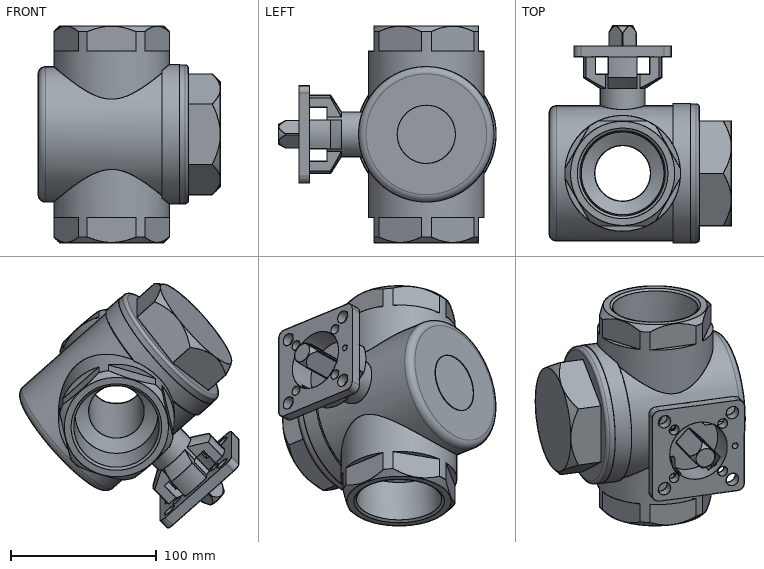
import cadquery as cq
import math


barrel_diameter = 93.0
barrel_left = -50.45
barrel_edge_radius = 5.0
recess_diameter = 40.0
recess_depth = 0.3

collar_diameter = 96.0
collar_left = 34.5
collar_right = 46.5
cap_diameter = 95.5
cap_right = 52.7
cap_edge_radius = 2.3

hex_across_flats = 72.0
hex_across_corners = hex_across_flats / math.cos(math.pi / 6)
nut_right = 74.65
nut_end_radius = hex_across_flats / 2

port_diameter = 79.5
port_half_length = 74.5
port_hex_length = 17.3
port_chamfer = 4.0
bore_diameter = 38.1
socket_mouth_diameter = 62.2
socket_chamfer_depth = 1.3
socket_outer_diameter = 58.6
socket_inner_diameter = 56.8
socket_depth = 30.0
socket_cone_depth = 5.3

neck_diameter = 31.0
neck_top = 68.2
arm_width = 20.0
arm_outer_diameter = 54.0
pilot_diameter = 42.0
arm_cone_bottom = 58.4
arm_cone_top = 65.8
plate_size = 67.0
plate_bottom = 80.05
plate_thickness = 7.5
plate_corner_radius = 5.0
plate_hole_patterns = [(70.0, 9.0), (50.0, 7.0)]
plate_hole_angle = 45.0
plate_hole_count = 4
pin_hole_diameter = 4.13
pin_hole_x = -26.8

stem_square = 14.0
stem_angle = 45.0
stem_corner_diameter = 19.0
stem_end = 101.55
stem_tip_radius = 6.8
stem_tip_length = 5.0


def cylinder_x(diameter, start, end):
    return cq.Workplane("YZ", origin=(start, 0, 0)).circle(diameter / 2).extrude(end - start)


def frame_y(y):
    """Work plane at height y along the stem, with its normal along +Y and its local Y along -Z."""
    return cq.Workplane(cq.Plane(origin=(0, y, 0), xDir=(1, 0, 0), normal=(0, 1, 0)))


def make_barrel():
    barrel = cylinder_x(barrel_diameter, barrel_left, collar_left)
    barrel = barrel.faces("<X").edges().fillet(barrel_edge_radius)
    recess = cylinder_x(recess_diameter, barrel_left, barrel_left + recess_depth)
    collar = cylinder_x(collar_diameter, collar_left, collar_right)
    cap = cylinder_x(cap_diameter, collar_right, cap_right)
    cap = cap.faces(">X").edges().fillet(cap_edge_radius)
    return barrel.cut(recess).union(collar).union(cap)


def make_end_nut():
    nut = (
        cq.Workplane("YZ", origin=(cap_right, 0, 0))
        .transformed(rotate=(0, 0, 90))
        .polygon(6, hex_across_corners)
        .extrude(nut_right - cap_right)
    )
    corner_radius = hex_across_corners / 2
    envelope = cylinder_x(hex_across_corners, cap_right, nut_right)
    envelope = envelope.faces(">X").chamfer(corner_radius - nut_end_radius)
    return nut.intersect(envelope)


def make_ports():
    ports = (
        cq.Workplane("XY", origin=(0, 0, -port_half_length))
        .circle(port_diameter / 2)
        .extrude(2 * port_half_length)
        .faces("<Z or >Z")
        .chamfer(port_chamfer)
    )
    hex_start = port_half_length - port_hex_length
    trim_radius = port_diameter
    for bottom in (-port_half_length, hex_start):
        section = cq.Workplane("XY", origin=(0, 0, bottom))
        trim = (
            section.circle(trim_radius)
            .polygon(6, hex_across_corners)
            .extrude(port_hex_length)
        )
        ports = ports.cut(trim)
    return ports


def make_port_bore():
    chamfer_z = port_half_length - socket_chamfer_depth
    socket_z = port_half_length - socket_depth
    half_profile = [
        (0, 0),
        (bore_diameter / 2, 0),
        (bore_diameter / 2, socket_z - socket_cone_depth),
        (socket_inner_diameter / 2, socket_z),
        (socket_outer_diameter / 2, chamfer_z),
        (socket_mouth_diameter / 2, port_half_length),
        (0, port_half_length),
    ]
    half = cq.Workplane("XZ").polyline(half_profile).close().revolve(360, (0, 0), (0, 1))
    return half.union(half.mirror("XY"))


def make_neck():
    return frame_y(0).circle(neck_diameter / 2).extrude(neck_top)


def make_arms():
    """Four arms on a cross, trimmed from one turned ring."""
    outer = arm_outer_diameter / 2
    inner = pilot_diameter / 2
    profile = [
        (0, arm_cone_bottom),
        (neck_diameter / 2, arm_cone_bottom),
        (outer, arm_cone_top),
        (outer, plate_bottom),
        (inner, plate_bottom),
        (inner, neck_top),
        (0, neck_top),
    ]
    ring = cq.Workplane("XY").polyline(profile).close().revolve(360, (0, 0), (0, 1))
    height = plate_bottom - arm_cone_bottom
    base = frame_y(arm_cone_bottom)
    cross = base.rect(arm_outer_diameter, arm_width).extrude(height)
    cross = cross.union(base.rect(arm_width, arm_outer_diameter).extrude(height))
    return ring.intersect(cross)


def make_plate():
    plate = frame_y(plate_bottom).rect(plate_size, plate_size).extrude(plate_thickness)
    plate = plate.edges("|Y").fillet(plate_corner_radius)
    for bolt_circle, hole_diameter in plate_hole_patterns:
        holes = (
            frame_y(plate_bottom)
            .polarArray(bolt_circle / 2, plate_hole_angle, 360, plate_hole_count)
            .circle(hole_diameter / 2)
            .extrude(plate_thickness)
        )
        plate = plate.cut(holes)
    pilot_hole = frame_y(plate_bottom).circle(pilot_diameter / 2)
    plate = plate.cut(pilot_hole.extrude(plate_thickness))
    pin_hole = frame_y(plate_bottom).center(pin_hole_x, 0).circle(pin_hole_diameter / 2)
    return plate.cut(pin_hole.extrude(plate_thickness))


def make_stem():
    length = stem_end - neck_top
    stem = (
        frame_y(neck_top)
        .transformed(rotate=(0, 0, stem_angle))
        .rect(stem_square, stem_square)
        .extrude(length)
    )
    corner_radius = stem_corner_diameter / 2
    profile = [
        (0, neck_top),
        (corner_radius, neck_top),
        (corner_radius, stem_end - stem_tip_length),
        (stem_tip_radius, stem_end),
        (0, stem_end),
    ]
    envelope = cq.Workplane("XY").polyline(profile).close().revolve(360, (0, 0), (0, 1))
    return stem.intersect(envelope)


body = make_barrel().union(make_end_nut()).union(make_ports()).union(make_neck())
body = body.cut(make_port_bore())
result = body.union(make_arms()).union(make_plate()).union(make_stem())